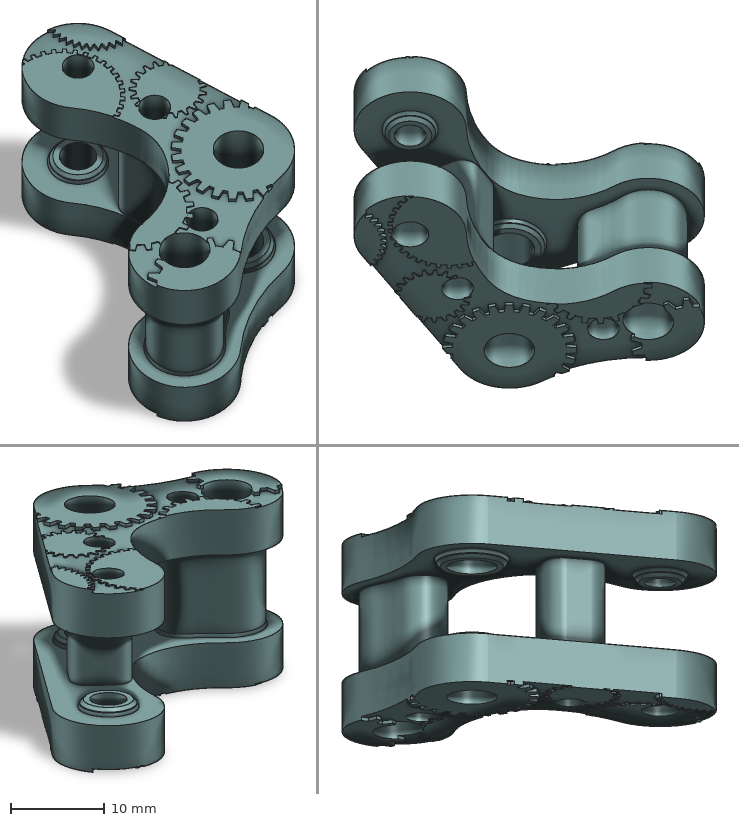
import cadquery as cq
import math


gap_half = 5.0
plate_thickness = 5.0
high_relief = 0.4
low_relief = 0.13

end_radius = 6.0
left_pivot = (-20.48, 4.97)
elbow_pivot = (0, 0)
bottom_pivot = (0, -15.5)
arm_tilt = math.degrees(math.atan2(-left_pivot[1], -left_pivot[0]))
large_hole_radius = 2.7
small_hole_radius = 1.7
lower_left_hole_radius = 1.98
arm_hole = (-10.7, 2.6)
lower_hole = (0, -10.5)

waist_radius = 19.82
left_hollow_radius = 15.45
left_hollow_angle = -75.2
bottom_hollow_radius = 10.08
bottom_hollow_angle = 158.8
corner_radius = 7.3

boss_flare_height = 0.4
boss_land_height = 0.1
boss_chamfer = 0.4
elbow_boss_radius = 3.8
lower_left_boss_radius = 3.1
upper_left_boss_radius = 2.7
lower_flare = 0.2
upper_flare = 0.3

arm_post_side = 6.73
arm_post_corner = 2.0
pivot_post_radius = 4.2
pivot_post_tip_radius = 2.75
pivot_post_waist = 11.7
pivot_post_flare = 0.2
pivot_post_flare_height = 0.4

corner_gear = ((-21.95, 13.55), 6.18, 5.5, 43, 2.0, 0.9, 0.04)
left_gear = ((-20.45, 0.52), 6.65, 6.18, 35, 7.4, 0.45, 0.38)
arm_gear = ((-10.35, 5.55), 4.15, 3.45, 21, 12.9, 0.59, 0.21)
elbow_gear = (elbow_pivot, 7.2, 6.15, 24, 1.4, 0.66, 0.42)
lower_gear = ((-6.85, -11.73), 5.98, 5.17, 21, 11.8, 0.49, 0.31)
bottom_gear = ((4.6, -19.45), 6.95, 5.82, 19, 17.7, 0.59, 0.24)
reliefs = [
    (corner_gear, high_relief),
    (left_gear, low_relief),
    (arm_gear, low_relief),
    (elbow_gear, high_relief),
    (lower_gear, low_relief),
    (bottom_gear, high_relief),
]


def polar(center, radius, degrees):
    """Point at a distance and direction from a centre."""
    angle = math.radians(degrees)
    return (center[0] + radius * math.cos(angle), center[1] + radius * math.sin(angle))


def toward(start, target, distance):
    """Point at a distance from start, in the direction of target."""
    ratio = distance / math.dist(start, target)
    return (start[0] + ratio * (target[0] - start[0]), start[1] + ratio * (target[1] - start[1]))


def circles_meet(first, first_radius, second, second_radius):
    """Where two circles cross, on the left side when going from first to second."""
    span = math.dist(first, second)
    along = (span**2 + first_radius**2 - second_radius**2) / (2 * span)
    across = math.sqrt(first_radius**2 - along**2)
    ux = (second[0] - first[0]) / span
    uy = (second[1] - first[1]) / span
    return (first[0] + along * ux - across * uy, first[1] + along * uy + across * ux)


def arc_middle(center, radius, start, end):
    """Middle of the shorter arc between two points of a circle."""
    return toward(center, ((start[0] + end[0]) / 2, (start[1] + end[1]) / 2), radius)


def link_outline():
    """L-shaped outline of three round ends, one straight edge and hollow edges between the ends."""
    top_start = polar(left_pivot, end_radius, arm_tilt + 90)
    top_end = polar(elbow_pivot, end_radius, arm_tilt + 90)

    waist_reach = end_radius + waist_radius
    waist_center = circles_meet(elbow_pivot, waist_reach, bottom_pivot, waist_reach)
    waist_start = toward(elbow_pivot, waist_center, end_radius)
    waist_end = toward(bottom_pivot, waist_center, end_radius)

    bottom_center = polar(bottom_pivot, end_radius + bottom_hollow_radius, bottom_hollow_angle)
    bottom_start = polar(bottom_pivot, end_radius, bottom_hollow_angle)
    left_center = polar(left_pivot, end_radius + left_hollow_radius, left_hollow_angle)
    left_end = polar(left_pivot, end_radius, left_hollow_angle)
    corner_center = circles_meet(
        bottom_center, bottom_hollow_radius - corner_radius, left_center, left_hollow_radius - corner_radius
    )
    corner_start = toward(bottom_center, corner_center, bottom_hollow_radius)
    corner_end = toward(left_center, corner_center, left_hollow_radius)

    bottom_middle = arc_middle(bottom_center, bottom_hollow_radius, bottom_start, corner_start)
    corner_middle = arc_middle(corner_center, corner_radius, corner_start, corner_end)
    left_middle = arc_middle(left_center, left_hollow_radius, corner_end, left_end)

    return (
        cq.Workplane("XY")
        .moveTo(*top_start)
        .lineTo(*top_end)
        .threePointArc(arc_middle(elbow_pivot, end_radius, top_end, waist_start), waist_start)
        .threePointArc(arc_middle(waist_center, waist_radius, waist_start, waist_end), waist_end)
        .threePointArc(polar(bottom_pivot, end_radius, -90), bottom_start)
        .threePointArc(bottom_middle, corner_start)
        .threePointArc(corner_middle, corner_end)
        .threePointArc(left_middle, left_end)
        .threePointArc(polar(left_pivot, end_radius, 180), top_start)
        .close()
    )


def hole(center, radius, bottom):
    """Upright cylinder from a given depth up to the top of the posts."""
    return cq.Workplane("XY", origin=(*center, bottom)).circle(radius).extrude(2 * gap_half - bottom)


def gear_prism(gear, height):
    """Toothed disc with straight-sided teeth, from the XY plane to a signed height."""
    center, tip_radius, root_radius, teeth, first_angle, root_share, tip_share = gear
    pitch = 360 / teeth
    points = []
    for tooth in range(teeth):
        middle = first_angle + tooth * pitch
        points.append(polar(center, root_radius, middle - root_share * pitch / 2))
        points.append(polar(center, tip_radius, middle - tip_share * pitch / 2))
        points.append(polar(center, tip_radius, middle + tip_share * pitch / 2))
        points.append(polar(center, root_radius, middle + root_share * pitch / 2))
    return cq.Workplane("XY").polyline(points).close().extrude(height)


def boss(center, radius, flare):
    """Boss that rises from the XY plane: flared foot, short land and chamfered top."""
    top_radius = radius - boss_chamfer
    land_top = boss_flare_height + boss_land_height
    return (
        cq.Workplane("XZ", origin=(*center, 0))
        .polyline(
            [
                (0, 0),
                (radius + flare, 0),
                (radius, boss_flare_height),
                (radius, land_top),
                (top_radius, land_top + boss_chamfer),
                (0, land_top + boss_chamfer),
            ]
        )
        .close()
        .revolve(360, (0, 0, 0), (0, 1, 0))
    )


def arm_post():
    """Rounded square post, turned in line with the left arm."""
    return (
        cq.Workplane("XY")
        .rect(arm_post_side, arm_post_side)
        .extrude(2 * gap_half)
        .edges("|Z")
        .fillet(arm_post_corner)
        .rotate((0, 0, 0), (0, 0, 1), arm_tilt)
        .translate((*arm_hole, 0))
    )


def pivot_post_outline(grow):
    """Outline round the bottom pivot and the hole above it, hollow on both sides."""
    base_radius = pivot_post_radius + grow
    tip_radius = pivot_post_tip_radius + grow
    hollow_radius = pivot_post_waist - grow
    hollow_center = circles_meet(
        lower_hole, tip_radius + hollow_radius, bottom_pivot, base_radius + hollow_radius
    )
    right_top = toward(lower_hole, hollow_center, tip_radius)
    right_bottom = toward(bottom_pivot, hollow_center, base_radius)
    right_middle = arc_middle(hollow_center, hollow_radius, right_top, right_bottom)
    return (
        cq.Workplane("XY")
        .moveTo(*right_top)
        .threePointArc(right_middle, right_bottom)
        .threePointArc(polar(bottom_pivot, base_radius, -90), (-right_bottom[0], right_bottom[1]))
        .threePointArc((-right_middle[0], right_middle[1]), (-right_top[0], right_top[1]))
        .threePointArc(polar(lower_hole, tip_radius, 90), right_top)
        .close()
    )


def pivot_post():
    """Post with a flared foot."""
    flare_taper = math.degrees(math.atan2(pivot_post_flare, pivot_post_flare_height))
    foot = pivot_post_outline(pivot_post_flare).extrude(pivot_post_flare_height, taper=flare_taper)
    return pivot_post_outline(0).extrude(2 * gap_half).union(foot)


def relief_plate():
    """Link plate below the XY plane, with the gears standing out from its outer face."""
    deepest = plate_thickness + high_relief
    layers = link_outline().extrude(-plate_thickness)
    for gear, height in reliefs:
        layers = layers.union(gear_prism(gear, -plate_thickness - height))
    return link_outline().extrude(-deepest).intersect(layers)


def link(left_hole_radius, left_boss_radius, left_flare, posts):
    """Link with its inner face on the XY plane, bosses and posts above and reliefs below."""
    body = relief_plate()
    body = body.union(boss(left_pivot, left_boss_radius, left_flare))
    body = body.union(boss(elbow_pivot, elbow_boss_radius, lower_flare))
    for post in posts:
        body = body.union(post)
    through = -plate_thickness - high_relief
    body = body.cut(hole(left_pivot, left_hole_radius, through))
    body = body.cut(hole(arm_hole, small_hole_radius, through))
    body = body.cut(hole(elbow_pivot, large_hole_radius, through))
    body = body.cut(hole(bottom_pivot, large_hole_radius, through))
    return body.cut(hole(lower_hole, small_hole_radius, -plate_thickness))


lower_link = link(lower_left_hole_radius, lower_left_boss_radius, lower_flare, [arm_post(), pivot_post()])
lower_link = lower_link.translate((0, 0, -gap_half))

upper_link = link(small_hole_radius, upper_left_boss_radius, upper_flare, [])
upper_link = upper_link.mirror("XY").translate((0, 0, gap_half))

result = cq.Compound.makeCompound([lower_link.val(), upper_link.val()])